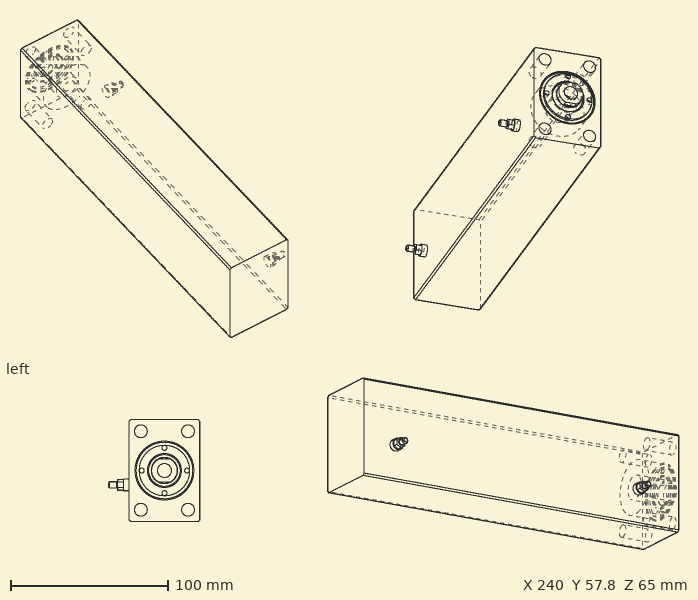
import cadquery as cq
import math


overall_length = 240.0
rod_projection = 7.0
housing_length = overall_length - rod_projection
rod_tip_x = -rod_projection

housing_width = 45.0
housing_height = 65.0
edge_chamfer = 1.2
mount_spacing_y = 30.0
mount_spacing_z = 50.0
mount_hole_diameter = 8.2
mount_hole_depth = 19.2
drill_point_angle = 118.0

gland_diameter = 36.0
gland_seat_chamfer = 0.7
gland_depth = 19.2
collar_diameter = 32.2
collar_projection = 1.7

wiper_recess_diameter = 21.5
wiper_recess_depth = 1.5
wiper_root_diameter = 20.2
wiper_tip_diameter = 16.8
wiper_projection = 1.2

spanner_hole_count = 4
spanner_hole_diameter = 3.0
spanner_hole_circle_diameter = 28.8
spanner_hole_depth = 3.5

rod_diameter = 16.3
rod_across_flats = 14.6
rod_flat_length = 3.5
rod_hole_diameter = 9.0
rod_hole_depth = 12.0

first_fitting_x = 30.0
fitting_count = 2
fitting_spacing = 180.0
fitting_z = -9.0
fitting_base_diameter = 7.7
fitting_base_height = 3.5
fitting_hex_across_flats = 6.0
fitting_hex_height = 3.5
nipple_diameter = 4.0
nipple_neck_diameter = 3.4
nipple_neck_height = 0.7
nipple_height = 5.8
nipple_tip_chamfer = 0.7


def cylinder_along_x(diameter, start_x, end_x):
    """Cylinder on the rod axis between two X positions."""
    return cq.Workplane("YZ", origin=(start_x, 0, 0)).circle(diameter / 2).extrude(end_x - start_x)


def drilled_hole(diameter, depth, mouth_x, y=0.0, z=0.0):
    """Cutter for a blind hole along +X with a conical drill point."""
    radius = diameter / 2
    point_length = radius / math.tan(math.radians(drill_point_angle / 2))
    profile = [(0, 0), (depth + point_length, 0), (depth, radius), (0, radius)]
    cutter = cq.Workplane("XY").polyline(profile).close().revolve(360, (0, 0, 0), (1, 0, 0))
    return cutter.translate((mouth_x, y, z))


def make_housing():
    housing = (
        cq.Workplane("YZ")
        .rect(housing_width, housing_height)
        .extrude(housing_length)
        .edges("|X")
        .chamfer(edge_chamfer)
    )
    for y_side in (-1, 1):
        for z_side in (-1, 1):
            y = y_side * mount_spacing_y / 2
            z = z_side * mount_spacing_z / 2
            housing = housing.cut(drilled_hole(mount_hole_diameter, mount_hole_depth, 0, y, z))

    gland_seat = cylinder_along_x(gland_diameter, 0, gland_depth)
    housing = housing.cut(gland_seat)
    seat_mouth = cq.Workplane("YZ").circle(gland_diameter / 2 + gland_seat_chamfer)
    seat_mouth = seat_mouth.workplane(offset=gland_seat_chamfer).circle(gland_diameter / 2).loft()
    return housing.cut(seat_mouth)


def make_gland():
    """Threaded plug with a raised collar, and a conical wiper lip standing in a recess."""
    collar_face = -collar_projection
    recess_floor = collar_face + wiper_recess_depth
    lip_tip = collar_face - wiper_projection
    bore_radius = rod_diameter / 2
    profile = [
        (gland_depth, bore_radius),
        (lip_tip, bore_radius),
        (lip_tip, wiper_tip_diameter / 2),
        (recess_floor, wiper_root_diameter / 2),
        (recess_floor, wiper_recess_diameter / 2),
        (collar_face, wiper_recess_diameter / 2),
        (collar_face, collar_diameter / 2),
        (0, collar_diameter / 2),
        (0, gland_diameter / 2),
        (gland_depth, gland_diameter / 2),
    ]
    gland = cq.Workplane("XY").polyline(profile).close().revolve(360, (0, 0, 0), (1, 0, 0))
    for index in range(spanner_hole_count):
        hole_y = spanner_hole_circle_diameter / 2
        hole = drilled_hole(spanner_hole_diameter, spanner_hole_depth, collar_face, hole_y)
        turn = index * 360 / spanner_hole_count
        gland = gland.cut(hole.rotate((0, 0, 0), (1, 0, 0), turn))
    return gland


def make_rod():
    """Rod through the gland bore, with two wrench flats and a tapped hole at the tip."""
    rod = cylinder_along_x(rod_diameter, rod_tip_x, gland_depth)
    flat_section = cq.Workplane("YZ", origin=(rod_tip_x, 0, 0))
    for side in (-1, 1):
        flat_cutter = (
            flat_section.center(0, side * (rod_across_flats + rod_diameter) / 2)
            .rect(2 * rod_diameter, rod_diameter)
            .extrude(rod_flat_length)
        )
        rod = rod.cut(flat_cutter)
    return rod.cut(drilled_hole(rod_hole_diameter, rod_hole_depth, rod_tip_x))


def make_fitting(x):
    """Bleed fitting standing on the +Y face: round base, hexagon, then a necked nipple."""
    base_y = housing_width / 2
    hex_y = base_y + fitting_base_height
    neck_y = hex_y + fitting_hex_height
    nipple_y = neck_y + nipple_neck_height

    def section(y):
        return cq.Workplane("XZ", origin=(x, y, fitting_z))

    base = section(base_y).circle(fitting_base_diameter / 2).extrude(-fitting_base_height)
    hex_across_corners = fitting_hex_across_flats / math.cos(math.radians(30))
    hexagon = (
        section(hex_y)
        .transformed(rotate=(0, 0, 90))
        .polygon(6, hex_across_corners)
        .extrude(-fitting_hex_height)
    )
    neck = section(neck_y).circle(nipple_neck_diameter / 2).extrude(-nipple_neck_height)
    nipple = (
        section(nipple_y)
        .circle(nipple_diameter / 2)
        .extrude(-(nipple_height - nipple_neck_height))
        .faces(">Y")
        .chamfer(nipple_tip_chamfer)
    )
    return base.union(hexagon).union(neck).union(nipple)


housing = make_housing()
gland = make_gland()
rod = make_rod()
fittings = [make_fitting(first_fitting_x + index * fitting_spacing) for index in range(fitting_count)]

result = cq.Compound.makeCompound(
    [housing.val(), gland.val(), rod.val(), *[fitting.val() for fitting in fittings]]
)